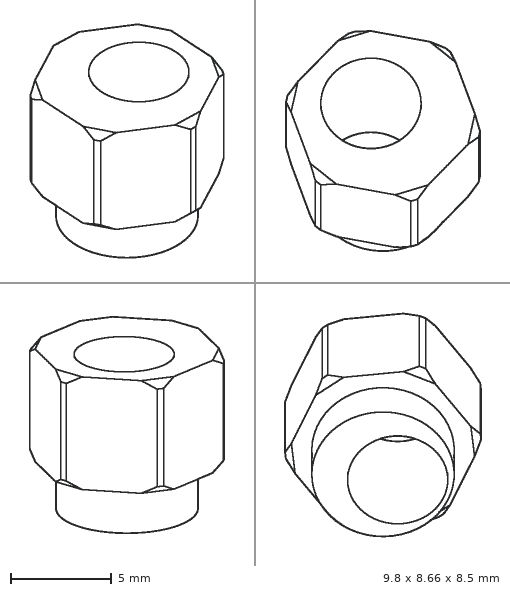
import cadquery as cq
import math

across_flats = 8.66
across_trimmed_corners = 9.8
head_height = 6.0
corner_chamfer = 0.4
hex_sides = 6

spigot_diameter = 7.1
spigot_height = 2.5

bore_diameter = 5.0
bore_offset_y = 0.8

total_height = spigot_height + head_height
across_corners = across_flats / math.cos(math.pi / hex_sides)


def corner_slab():
    """Slab trimming one opposite pair of corners, its end edges chamfered top and bottom."""
    return (
        cq.Workplane("XY")
        .workplane(offset=spigot_height)
        .rect(across_trimmed_corners, across_corners)
        .extrude(head_height)
        .faces("<X or >X")
        .edges("|Y")
        .chamfer(corner_chamfer)
    )


def hex_head():
    """Hexagonal prism with every corner cut flat and chamfered at both ends."""
    head = (
        cq.Workplane("XY")
        .workplane(offset=spigot_height)
        .polygon(hex_sides, across_corners)
        .extrude(head_height)
    )
    corner_pairs = hex_sides // 2
    for pair in range(corner_pairs):
        angle = pair * 360 / hex_sides
        head = head.intersect(corner_slab().rotate((0, 0, 0), (0, 0, 1), angle))
    return head


def spigot():
    return cq.Workplane("XY").circle(spigot_diameter / 2).extrude(spigot_height)


def bore():
    return (
        cq.Workplane("XY")
        .center(0, bore_offset_y)
        .circle(bore_diameter / 2)
        .extrude(total_height)
    )


result = hex_head().union(spigot()).cut(bore())